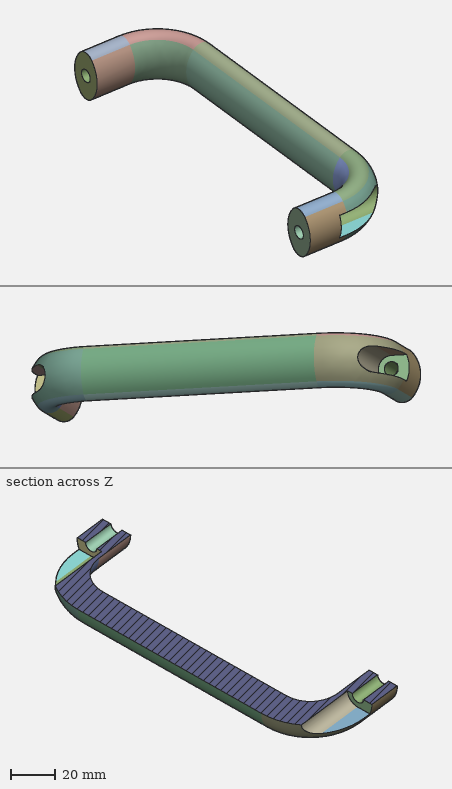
import cadquery as cq
import math

length = 177.0
projection = 55.0
grip_width = 17.0
grip_height = 25.0
bend_radius = 25.0

hole_diameter = 6.5
slot_width = 12.2
seat_height = 17.5

end_radius = 6.0

leg_x = (length - grip_width) / 2
bar_y = projection - grip_width / 2
leg_end_y = bar_y - bend_radius
bar_end_x = leg_x - bend_radius


def grip_section():
    """Oval section on the left foot, in the XZ plane."""
    half_width = grip_width / 2
    half_height = grip_height / 2
    end_center = half_height - end_radius
    side_radius = (half_width**2 + end_center**2 - end_radius**2) / (2 * (half_width - end_radius))
    side_center = side_radius - half_width
    angle = math.atan2(end_center, side_center)
    tangent_x = end_radius * math.cos(angle)
    tangent_z = end_center + end_radius * math.sin(angle)
    return (
        cq.Workplane("XZ", origin=(-leg_x, 0, 0))
        .moveTo(tangent_x, -tangent_z)
        .threePointArc((half_width, 0), (tangent_x, tangent_z))
        .threePointArc((0, half_height), (-tangent_x, tangent_z))
        .threePointArc((-half_width, 0), (-tangent_x, -tangent_z))
        .threePointArc((0, -half_height), (tangent_x, -tangent_z))
        .close()
    )


def handle_path():
    """Centreline: two legs joined to the bar by quarter-circle bends."""
    bend_offset = bend_radius * math.sqrt(0.5)
    bend_mid_x = bar_end_x + bend_offset
    bend_mid_y = leg_end_y + bend_offset
    return (
        cq.Workplane("XY")
        .moveTo(-leg_x, 0)
        .lineTo(-leg_x, leg_end_y)
        .threePointArc((-bend_mid_x, bend_mid_y), (-bar_end_x, bar_y))
        .lineTo(bar_end_x, bar_y)
        .threePointArc((bend_mid_x, bend_mid_y), (leg_x, leg_end_y))
        .lineTo(leg_x, 0)
    )


def screw_cut(side):
    """Through hole and outward-open, round-ended screw access slot in one leg."""
    axis_x = side * leg_x
    hole = (
        cq.Workplane("XZ", origin=(axis_x, 0, 0))
        .circle(hole_diameter / 2)
        .extrude(-projection)
    )
    access_depth = projection - seat_height
    seat_plane = cq.Workplane("XZ", origin=(axis_x, seat_height, 0))
    round_end = seat_plane.circle(slot_width / 2).extrude(-access_depth)
    opening = (
        seat_plane.center(side * grip_width / 2, 0)
        .rect(grip_width, slot_width)
        .extrude(-access_depth)
    )
    return hole.union(round_end).union(opening)


handle = grip_section().sweep(handle_path())
for leg_side in (-1, 1):
    handle = handle.cut(screw_cut(leg_side))

result = handle